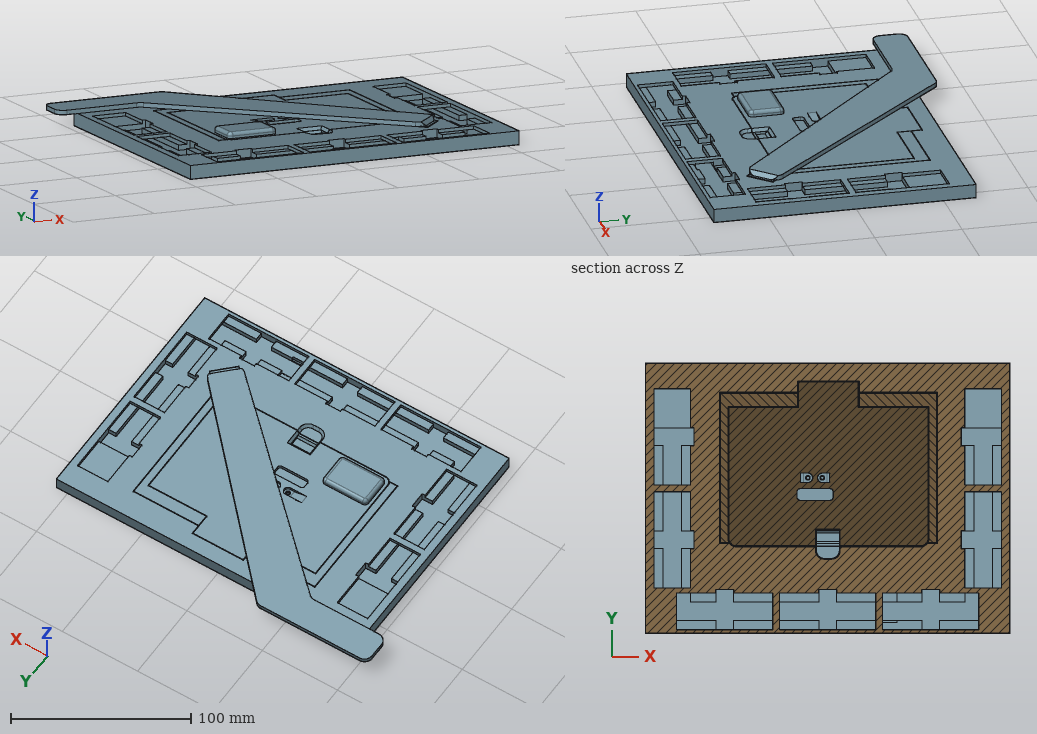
import cadquery as cq
import math

BOARD_LENGTH = 202.3
BOARD_WIDTH = 150.0
BOARD_HEIGHT = 8.0

HOLDER_LENGTH = 53.3
HOLDER_WIDTH = 20.2
HOLDER_PITCH = 57.2
HOLDER_DEPTH = 2.0
BAR_WIDTH = 9.9
NOTCH_REACH = 2.0
FRONT_MARGIN = 2.2
FRONT_COUNT = 3
SIDE_MARGIN = 4.7
SIDE_START = 25.4
SIDE_COUNT = 2

CHANNEL_DEPTH = 5.0
LEDGE_WIDTH = 5.0
BRANCH_LENGTH = 8.0
BRANCH_DEPTH = 4.0
BRANCH_OVERHANG = 1.0

FRAME_LEFT = 41.5
FRAME_FRONT = 50.3
FRAME_LENGTH = 120.2
FRAME_WIDTH = 83.2
FRAME_THICKNESS = 5.4

PANEL_LEFT = 46.2
PANEL_FRONT = 48.5
PANEL_LENGTH = 110.7
PANEL_WIDTH = 77.0
PANEL_CORNER = 4.0
PANEL_THICKNESS = 4.3
TAB_LEFT = 85.0
TAB_LENGTH = 33.3
TAB_REACH = 14.2

CLEARANCE = 0.32

RECESS_CENTER_X = 101.3
RECESS_WIDTH = 15.3
RECESS_BACK = 58.7
RECESS_LENGTH = 18.3
RECESS_CORNER = 5.5
RECESS_DEPTH = 2.0
RECESS_SLOPE_RUN = 1.3
WELL_DEPTH = 3.5
WELL_FRONT = 49.9
WELL_BACK_RUN = 2.8
WELL_FRONT_RUN = 1.0

SLOT_X = 94.2
SLOT_Y = 77.2
SLOT_LENGTH = 20.0
SLOT_WIDTH = 6.5
SLOT_CORNER = 1.7
SLOT_DEPTH = 2.0
GROOVE_WIDTH = 5.2
GROOVE_LENGTH = 13.3
GROOVE_DEPTH = 1.5
GROOVE_Y = 86.5
GROOVE_SPACING = 8.0
HOLE_DIAMETER = 2.5
HOLE_DEPTH = 2.0
PIN_HOLE_DIAMETER = 1.8
PIN_HOLE_DEPTH = 2.8

BUTTON_X = 63.0
BUTTON_Y = 61.3
BUTTON_LENGTH = 29.7
BUTTON_WIDTH = 20.2
BUTTON_HEIGHT = 3.5
BUTTON_CORNER = 2.47
BUTTON_TOP_ROUND = 2.0

ARM_LEFT = BOARD_LENGTH - 215
ARM_BACK = 163.0
ARM_WIDTH = 19.8
ARM_GAP = 0.5
ARM_THICKNESS = 2.5
ARM_CORNER = 5.2
OUTER_BEND_X = 60.2
INNER_BEND_X = 37.5
BEND_ANGLE = 45
SIDE_TAPER = 1.65
TIP_SLOPE_RUN = 2.0
TIP_X = 165.0
TIP_Y = 36.5
FOOT_SIZE = 16.8
FOOT_STEP = 1.7

BAR_OFFSET = (HOLDER_LENGTH - BAR_WIDTH) / 2
CHANNEL_WIDTH = HOLDER_WIDTH - 2 * LEDGE_WIDTH
FRONT_START = (BOARD_LENGTH - (FRONT_COUNT - 1) * HOLDER_PITCH - HOLDER_LENGTH) / 2
PANEL_TOP = BOARD_HEIGHT


def pocket(x, y, length, width, depth, roof=0):
    """Block that cuts down from the top of the board, or from a given depth below it."""
    height = depth - roof
    block = cq.Workplane("XY").box(length, width, height, centered=False)
    return block.translate((x, y, BOARD_HEIGHT - depth))


def front_holders():
    """Openings and cross bars of the row along the front."""
    cuts = []
    for index in range(FRONT_COUNT):
        x = FRONT_START + index * HOLDER_PITCH
        cuts.append(pocket(x, FRONT_MARGIN, HOLDER_LENGTH, HOLDER_WIDTH, HOLDER_DEPTH))
        bar_length = HOLDER_WIDTH + NOTCH_REACH
        cuts.append(pocket(x + BAR_OFFSET, FRONT_MARGIN, BAR_WIDTH, bar_length, CHANNEL_DEPTH))
    return cuts


def left_holders():
    """Openings and cross bars of the column along the left side."""
    cuts = []
    for index in range(SIDE_COUNT):
        y = SIDE_START + index * HOLDER_PITCH
        cuts.append(pocket(SIDE_MARGIN, y, HOLDER_WIDTH, HOLDER_LENGTH, HOLDER_DEPTH))
        bar_length = HOLDER_WIDTH + NOTCH_REACH
        cuts.append(pocket(SIDE_MARGIN, y + BAR_OFFSET, bar_length, BAR_WIDTH, CHANNEL_DEPTH))
    return cuts


def left_channel():
    """Channel below the left column and the wide corner where it meets the front channel."""
    x = SIDE_MARGIN + LEDGE_WIDTH
    y = FRONT_MARGIN + LEDGE_WIDTH
    back = SIDE_START + (SIDE_COUNT - 1) * HOLDER_PITCH + BAR_OFFSET
    corner_length = SIDE_MARGIN + HOLDER_WIDTH - x
    return [
        pocket(x, y, CHANNEL_WIDTH, back - y, CHANNEL_DEPTH, HOLDER_DEPTH),
        pocket(x, y, corner_length, SIDE_START - y, CHANNEL_DEPTH, HOLDER_DEPTH),
    ]


def front_channel():
    """Channel below the front row, from corner to corner."""
    x = SIDE_MARGIN + LEDGE_WIDTH
    y = FRONT_MARGIN + LEDGE_WIDTH
    return pocket(x, y, BOARD_LENGTH - 2 * x, CHANNEL_WIDTH, CHANNEL_DEPTH, HOLDER_DEPTH)


def channel_branch():
    """Short passage that crosses the front channel at the left end of the last front holder."""
    x = FRONT_START + (FRONT_COUNT - 1) * HOLDER_PITCH
    y = FRONT_MARGIN + LEDGE_WIDTH - BRANCH_OVERHANG
    back = FRONT_MARGIN + HOLDER_WIDTH + NOTCH_REACH
    return pocket(x, y, BRANCH_LENGTH, back - y, BRANCH_DEPTH, HOLDER_DEPTH)


def frame_block(growth=0):
    """Outline of the frame as a block, grown on all sides for its seat."""
    length = FRAME_LENGTH + 2 * growth
    width = FRAME_WIDTH + 2 * growth
    return pocket(FRAME_LEFT - growth, FRAME_FRONT - growth, length, width, FRAME_THICKNESS)


def panel_block(growth=0):
    """Outline of the panel and its tab as a block, grown on all sides for its seat."""
    length = PANEL_LENGTH + 2 * growth
    width = PANEL_WIDTH + 2 * growth
    plate = pocket(PANEL_LEFT - growth, PANEL_FRONT - growth, length, width, PANEL_THICKNESS)
    plate = plate.edges("|Z and <Y").fillet(PANEL_CORNER + growth)
    tab_length = TAB_LENGTH + 2 * growth
    tab_front = PANEL_FRONT + PANEL_WIDTH / 2
    tab_width = PANEL_WIDTH / 2 + TAB_REACH + growth
    return plate.union(pocket(TAB_LEFT - growth, tab_front, tab_length, tab_width, PANEL_THICKNESS))


def finger_recess():
    """Dish with sloping sides and rounded front corners, and the well at its back."""
    center_y = RECESS_BACK - RECESS_LENGTH / 2
    slope = math.degrees(math.atan2(RECESS_SLOPE_RUN, RECESS_DEPTH))
    dish = (
        cq.Workplane("XY", origin=(RECESS_CENTER_X, center_y, PANEL_TOP))
        .sketch()
        .rect(RECESS_WIDTH, RECESS_LENGTH)
        .vertices("<Y")
        .fillet(RECESS_CORNER)
        .finalize()
        .extrude(-RECESS_DEPTH, taper=slope)
    )
    well_width = RECESS_WIDTH - 2 * RECESS_SLOPE_RUN
    well_floor = PANEL_TOP - WELL_DEPTH
    well = (
        cq.Workplane("YZ", origin=(RECESS_CENTER_X - well_width / 2, 0, 0))
        .moveTo(RECESS_BACK, PANEL_TOP)
        .lineTo(RECESS_BACK - WELL_BACK_RUN, well_floor)
        .lineTo(WELL_FRONT + WELL_FRONT_RUN, well_floor)
        .lineTo(WELL_FRONT, PANEL_TOP - RECESS_DEPTH)
        .lineTo(WELL_FRONT, PANEL_TOP)
        .close()
        .extrude(well_width)
    )
    return dish.union(well)


def ramped_groove():
    """Groove that curves down along +X to a round end and a hole, both centred on the origin."""
    radius = GROOVE_WIDTH / 2
    start = radius - GROOVE_LENGTH
    ramp = (
        cq.Workplane("XZ", origin=(0, radius, 0))
        .moveTo(start, 0)
        .spline([(-radius, -GROOVE_DEPTH)], tangents=[(1, 0), (1, 0)], includeCurrent=True)
        .lineTo(0, -GROOVE_DEPTH)
        .lineTo(0, 0)
        .close()
        .extrude(GROOVE_WIDTH)
    )
    round_end = cq.Workplane("XY").circle(radius).extrude(-GROOVE_DEPTH)
    hole = cq.Workplane("XY").circle(HOLE_DIAMETER / 2).extrude(-HOLE_DEPTH)
    pin_hole = cq.Workplane("XY").circle(PIN_HOLE_DIAMETER / 2).extrude(-PIN_HOLE_DEPTH)
    return ramp.union(round_end).union(hole).union(pin_hole)


def make_board():
    left_cuts = left_holders() + left_channel()
    right_cuts = [cut.mirror("YZ", (BOARD_LENGTH / 2, 0, 0)) for cut in left_cuts]
    board = cq.Workplane("XY").box(BOARD_LENGTH, BOARD_WIDTH, BOARD_HEIGHT, centered=False)
    for cut in front_holders() + left_cuts + right_cuts + [front_channel(), channel_branch()]:
        board = board.cut(cut)
    return board.cut(frame_block(CLEARANCE)).cut(panel_block(CLEARANCE)).cut(finger_recess())


def make_frame():
    return frame_block().cut(panel_block(CLEARANCE))


def make_panel():
    slot = pocket(SLOT_X - SLOT_LENGTH / 2, SLOT_Y - SLOT_WIDTH / 2, SLOT_LENGTH, SLOT_WIDTH, SLOT_DEPTH)
    slot = slot.edges("|Z").fillet(SLOT_CORNER)
    half_spacing = GROOVE_SPACING / 2
    left_groove = ramped_groove().translate((SLOT_X - half_spacing, GROOVE_Y, PANEL_TOP))
    right_groove = left_groove.mirror("YZ", (SLOT_X, 0, 0))
    return panel_block().cut(finger_recess()).cut(slot).cut(left_groove).cut(right_groove)


def make_button():
    button = (
        cq.Workplane("XY", origin=(BUTTON_X, BUTTON_Y, PANEL_TOP))
        .rect(BUTTON_LENGTH, BUTTON_WIDTH)
        .extrude(BUTTON_HEIGHT)
    )
    return button.edges("|Z").fillet(BUTTON_CORNER).faces(">Z").edges().fillet(BUTTON_TOP_ROUND)


def tip_point(x, y, angle):
    """Point where a side of the arm, leaving (x, y) downwards at the angle, meets the tip edge."""
    step_x = math.cos(math.radians(angle))
    step_y = -math.sin(math.radians(angle))
    length = ((TIP_X - TIP_Y) - (x - y)) / (step_x - step_y)
    return (x + length * step_x, y + length * step_y)


def arm_blade():
    """Bent flat blade with rounded corners and a sloping end face."""
    front = ARM_BACK - ARM_WIDTH
    outer_tip = tip_point(OUTER_BEND_X, ARM_BACK, BEND_ANGLE + SIDE_TAPER)
    inner_tip = tip_point(INNER_BEND_X, front, BEND_ANGLE - SIDE_TAPER)
    bottom = BOARD_HEIGHT + ARM_GAP
    blade = (
        cq.Workplane("XY", origin=(0, 0, bottom))
        .moveTo(ARM_LEFT, front)
        .lineTo(ARM_LEFT, ARM_BACK)
        .lineTo(OUTER_BEND_X, ARM_BACK)
        .lineTo(*outer_tip)
        .lineTo(*inner_tip)
        .lineTo(INNER_BEND_X, front)
        .close()
        .extrude(ARM_THICKNESS)
    )

    def round_corner(body, x, y, radius):
        picker = cq.selectors.NearestToPointSelector((x, y, bottom + ARM_THICKNESS / 2))
        return body.edges("|Z").edges(picker).fillet(radius)

    blade = round_corner(blade, ARM_LEFT, front, ARM_CORNER)
    blade = round_corner(blade, ARM_LEFT, ARM_BACK, ARM_CORNER)
    blade = round_corner(blade, OUTER_BEND_X, ARM_BACK, ARM_CORNER)
    blade = round_corner(blade, INNER_BEND_X, front, ARM_CORNER)
    blade = round_corner(blade, *outer_tip, ARM_CORNER)
    blade = round_corner(blade, *inner_tip, ARM_CORNER)
    wedge = (
        cq.Workplane("XZ")
        .moveTo(0, 0)
        .lineTo(-TIP_SLOPE_RUN, ARM_THICKNESS)
        .lineTo(0, ARM_THICKNESS)
        .close()
        .extrude(HOLDER_WIDTH, both=True)
    )
    return blade.cut(wedge.rotate((0, 0, 0), (0, 0, 1), -BEND_ANGLE).translate((TIP_X, TIP_Y, bottom)))


def arm_foot():
    """Square foot between the board and the blade, set a step ahead of the tip."""
    foot = cq.Workplane("XY").rect(FOOT_SIZE, FOOT_SIZE).extrude(ARM_GAP)
    foot = foot.translate((FOOT_STEP - FOOT_SIZE / 2, 0, 0))
    return foot.rotate((0, 0, 0), (0, 0, 1), -BEND_ANGLE).translate((TIP_X, TIP_Y, BOARD_HEIGHT))


def make_arm():
    return arm_blade().union(arm_foot())


board = make_board()
frame = make_frame()
panel = make_panel()
button = make_button()
arm = make_arm()
result = cq.Compound.makeCompound([board.val(), frame.val(), panel.val(), button.val(), arm.val()])